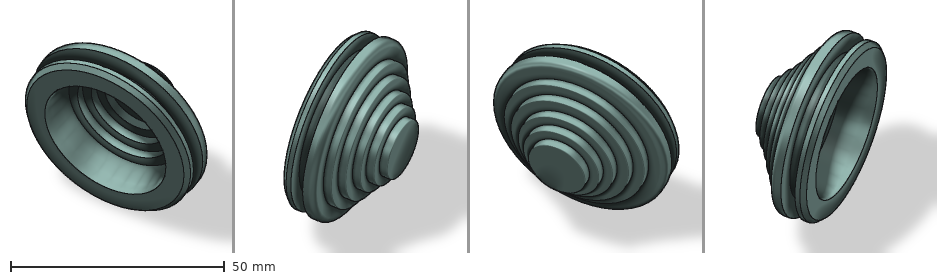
import cadquery as cq

front_radius = 22.5
front_end = 2.5
front_chamfer_depth = 1.2
front_face_radius = 21.4

groove_front_radius = 18.55
groove_back_radius = 18.25

rim_radius = 23.0
rim_start = 5.9
rim_end = 8.95
rim_fillet = 1.5

total_depth = 20.0
step_radii = [18.55, 15.6, 12.5, 10.05, 7.55]
step_length = (total_depth - rim_end) / len(step_radii)
step_edge_fillet = 0.25

mouth_radius = 16.45
mouth_floor_radius = 15.23
bore_radii = [12.9, 10.55, 8.25, 5.5]
floor_thickness = 1.85
mouth_depth = rim_end
bore_step_length = (total_depth - floor_thickness - mouth_depth) / len(bore_radii)


def disc(radius, start, end):
    """Solid disc about the Y axis between two Y positions."""
    return cq.Workplane("XZ", origin=(0, start, 0)).circle(radius).extrude(start - end)


def cone(start_radius, end_radius, start, end):
    """Solid truncated cone about the Y axis between two Y positions."""
    outline = [(0, start), (start_radius, start), (end_radius, end), (0, end)]
    return cq.Workplane("XY").polyline(outline).close().revolve(360, (0, 0), (0, 1))


body = cone(front_face_radius, front_radius, 0, front_chamfer_depth)
body = body.union(disc(front_radius, front_chamfer_depth, front_end))

body = body.union(cone(groove_front_radius, groove_back_radius, front_end, rim_start))

body = body.union(disc(rim_radius, rim_start, rim_end).faces(">Y").edges().fillet(rim_fillet))

for index, radius in enumerate(step_radii):
    start = rim_end + index * step_length
    step = disc(radius, start, start + step_length)
    body = body.union(step.faces(">Y").edges().fillet(step_edge_fillet))

body = body.cut(cone(mouth_radius, mouth_floor_radius, 0, mouth_depth))
for index, radius in enumerate(bore_radii):
    start = mouth_depth + index * bore_step_length
    body = body.cut(disc(radius, start, start + bore_step_length))

result = body